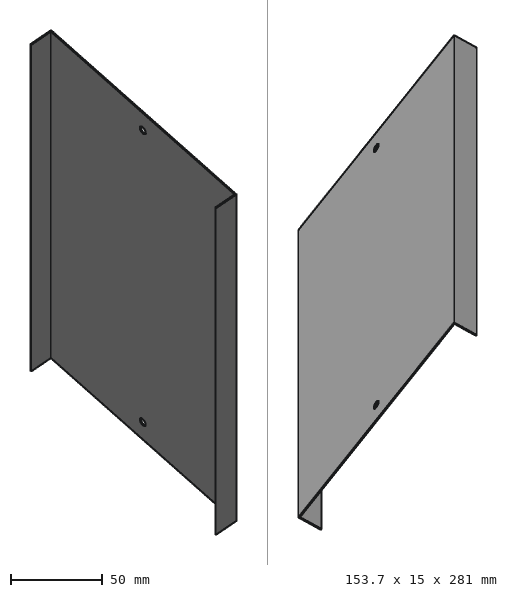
import cadquery as cq

width = 153.7
depth = 15.0
height = 281.0
sheet_thickness = 0.8

hole_diameter = 5.0
hole_end_distance = 15.0
hole_spacing = height - 2 * hole_end_distance

channel = cq.Workplane("XY").box(width, depth, height)
inner_space = (
    cq.Workplane("XY")
    .box(width - 2 * sheet_thickness, depth, height)
    .translate((0, -sheet_thickness, 0))
)
channel = channel.cut(inner_space)

hole_cutters = (
    cq.Workplane("XZ")
    .pushPoints([(0, -hole_spacing / 2), (0, hole_spacing / 2)])
    .circle(hole_diameter / 2)
    .extrude(depth, both=True)
)
result = channel.cut(hole_cutters)